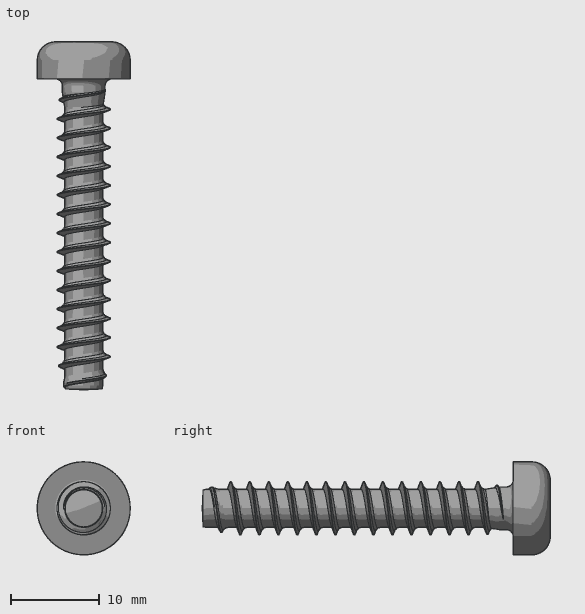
import cadquery as cq
import math


overall_length = 39.19
head_diameter = 10.5
head_height = 4.2
head_top_radius = 2.1
head_rim_radius = 0.1

shank_length = overall_length - head_height
neck_diameter = 4.84
neck_fillet = 0.75
neck_end_depth = 1.53
core_diameter = 4.3
core_start_depth = 3.2
tip_taper_length = 0.35
tip_cone_height = 0.1
tip_diameter = 4.16

thread_diameter = 6.0
pitch = 2.14
first_crest_depth = 1.27
lead_in_start_depth = 1.0
lead_in_end_depth = 3.1
lead_in_height = 0.2
lead_out_start_depth = 31.8
lead_out_end_depth = 34.45
lead_out_height = 0.05
points_per_turn = 16

root_offset = 0.95
root_radius = 2.1
foot_offset = 0.48
foot_radius = 2.24
base_half_width = 0.4
base_radius = 1.9
flank_break_radius = 2.55
flank_break_half_width = 0.2
crest_half_width = 0.03

head_radius = head_diameter / 2
neck_radius = neck_diameter / 2
core_radius = core_diameter / 2
tip_radius = tip_diameter / 2
crest_radius = thread_diameter / 2

thread_profile = [
    (base_half_width, base_radius),
    (root_offset, root_radius),
    (foot_offset, foot_radius),
    (flank_break_half_width, flank_break_radius),
    (crest_half_width, crest_radius),
    (-crest_half_width, crest_radius),
    (-flank_break_half_width, flank_break_radius),
    (-base_half_width, base_radius),
]


def make_body():
    """Head, neck, core and tip, turned about the Y axis."""
    arc_mid = math.sqrt(0.5)
    top_center_x = head_radius - head_top_radius
    top_center_y = head_height - head_top_radius
    rim_center_x = head_radius - head_rim_radius
    neck_center_x = neck_radius + neck_fillet
    return (
        cq.Workplane("XY")
        .moveTo(0, head_height)
        .lineTo(top_center_x, head_height)
        .threePointArc(
            (top_center_x + head_top_radius * arc_mid, top_center_y + head_top_radius * arc_mid),
            (head_radius, top_center_y),
        )
        .lineTo(head_radius, head_rim_radius)
        .threePointArc(
            (rim_center_x + head_rim_radius * arc_mid, head_rim_radius * (1 - arc_mid)),
            (rim_center_x, 0),
        )
        .lineTo(neck_center_x, 0)
        .threePointArc(
            (neck_center_x - neck_fillet * arc_mid, -neck_fillet * (1 - arc_mid)),
            (neck_radius, -neck_fillet),
        )
        .lineTo(neck_radius, -neck_end_depth)
        .lineTo(core_radius, -core_start_depth)
        .lineTo(core_radius, tip_cone_height + tip_taper_length - shank_length)
        .lineTo(tip_radius, tip_cone_height - shank_length)
        .lineTo(0, -shank_length)
        .close()
        .revolve(360, (0, 0, 0), (0, 1, 0))
    )


def thread_point(profile_point, crest_depth, height):
    """Place a cross-section point on the helix at a crest depth and height fraction."""
    offset, full_radius = profile_point
    ridge_height = max(full_radius - foot_radius, 0)
    radius = full_radius - (1 - height) * ridge_height
    angle = 2 * math.pi * (crest_depth - first_crest_depth) / pitch
    return cq.Vector(radius * math.cos(angle), offset - crest_depth, radius * math.sin(angle))


def thread_curve(profile_point, start_depth, end_depth, start_height, end_height):
    """Helical edge whose height fraction changes evenly from start to end."""
    length = end_depth - start_depth
    steps = math.ceil(points_per_turn * length / pitch)
    points = []
    for step in range(steps + 1):
        share = step / steps
        depth = start_depth + share * length
        height = start_height + share * (end_height - start_height)
        points.append(thread_point(profile_point, depth, height))
    return cq.Edge.makeSpline(points)


def thread_sides(start_depth, end_depth, start_height, end_height):
    """Ruled faces joining neighbouring helical edges over one stretch of thread."""
    curves = [
        thread_curve(point, start_depth, end_depth, start_height, end_height)
        for point in thread_profile
    ]
    next_curves = curves[1:] + curves[:1]
    return [cq.Face.makeRuledSurface(a, b) for a, b in zip(curves, next_curves)]


def thread_end(depth, height):
    """Flat face closing the thread in the plane through the axis."""
    corners = [thread_point(point, depth, height) for point in thread_profile]
    return cq.Face.makeFromWires(cq.Wire.makePolygon(corners, close=True))


def full_thread_sides():
    """Full-height stretch, divided evenly into lengths of about one turn."""
    length = lead_out_start_depth - lead_in_end_depth
    turns = math.ceil(length / pitch)
    faces = []
    for turn in range(turns):
        start_depth = lead_in_end_depth + length * turn / turns
        end_depth = lead_in_end_depth + length * (turn + 1) / turns
        faces += thread_sides(start_depth, end_depth, 1, 1)
    return faces


def make_thread():
    """Lead-in, full thread and lead-out, joined into one solid."""
    faces = [
        thread_end(lead_in_start_depth, lead_in_height),
        *thread_sides(lead_in_start_depth, lead_in_end_depth, lead_in_height, 1),
        *full_thread_sides(),
        *thread_sides(lead_out_start_depth, lead_out_end_depth, 1, lead_out_height),
        thread_end(lead_out_end_depth, lead_out_height),
    ]
    return cq.Workplane(cq.Solid.makeSolid(cq.Shell.makeShell(faces)))


result = make_body().union(make_thread()).solids()